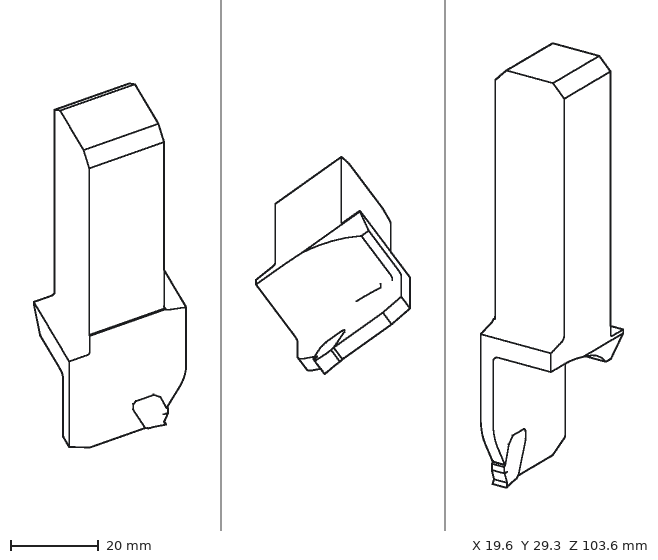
import cadquery as cq
import math

TOTAL_HEIGHT = 103.6
DEPTH = 29.3
OVERHANG = 0.2
BLADE_RIGHT = 19.4
BLADE_LEFT = 16.0

SHANK_RIGHT = 19.1
SHANK_FRONT = 5.2
SHANK_BACK = 23.9
SHANK_CHAMFER = 3.1
STEP_HEIGHT = 41.0

FRONT_SHOULDER_HEIGHT = 34.5
BACK_SHOULDER_HEIGHT = 39.2
BACK_SHOULDER_ANGLE = 16.0
FRONT_SHOULDER_RADIUS = 0.7
BACK_SHOULDER_RADIUS = 1.5

BLADE_BOTTOM = 1.1
FRONT_CORNER_HEIGHT = 3.9
BACK_CORNER_HEIGHT = 14.5
BACK_CORNER_RADIUS = 14.5
SEAT_MOUTH = (24.5, 5.7)
SEAT_INSIDE_Y = 21.8

CLEARANCE_HIGH = 34.5
CLEARANCE_LOW = 26.3
ARC_START_Y = 24.2
ARC_END_Y = 2.1
CLEARANCE_FILLET = 1.5

BEVEL_TOP = 33.6
BEVEL_WIDTH = 3.4

CUTTING_TIP = (24.2, 0.0)
RAKE_HOLLOW = (23.7, 1.0)
RAKE_TOP = (24.8, 3.7)
RELIEF_TOP = (23.6, 3.7)
RELIEF_BOTTOM = (21.3, 0.4)
INSERT_OUTLINE = [
    CUTTING_TIP,
    RAKE_HOLLOW,
    RAKE_TOP,
    (24.8, 5.3),
    (24.4, 5.7),
    (22.9, 10.3),
    (21.2, 11.9),
    (16.7, 11.9),
    (16.1, 11.1),
    (16.1, 9.1),
    (19.1, BLADE_BOTTOM),
    (19.8, 0.6),
    RELIEF_BOTTOM,
]
HEAD_OUTLINE = [CUTTING_TIP, RAKE_HOLLOW, RAKE_TOP, RELIEF_TOP, RELIEF_BOTTOM]


def extrude_along_x(outline, start, end):
    """Extrude a closed list of (Y, Z) points from X = start to X = end."""
    return cq.Workplane("YZ", origin=(start, 0, 0)).polyline(outline).close().extrude(end - start)


def make_holder_blank():
    """Full-thickness side outline of shank, foot and blade, with rounded corners."""
    shoulder_rise = (DEPTH - SHANK_BACK) * math.tan(math.radians(BACK_SHOULDER_ANGLE))
    back_shoulder = (SHANK_BACK, BACK_SHOULDER_HEIGHT + shoulder_rise)
    outline = [
        (SHANK_FRONT, TOTAL_HEIGHT),
        (SHANK_BACK, TOTAL_HEIGHT),
        back_shoulder,
        (DEPTH, BACK_SHOULDER_HEIGHT),
        (DEPTH, BACK_CORNER_HEIGHT),
        SEAT_MOUTH,
        (SEAT_INSIDE_Y, BLADE_BOTTOM),
        (SHANK_FRONT, BLADE_BOTTOM),
        (0, FRONT_CORNER_HEIGHT),
        (0, FRONT_SHOULDER_HEIGHT),
        (SHANK_FRONT, FRONT_SHOULDER_HEIGHT),
    ]
    rounded_corners = [
        (back_shoulder, BACK_SHOULDER_RADIUS),
        ((DEPTH, BACK_CORNER_HEIGHT), BACK_CORNER_RADIUS),
        ((SHANK_FRONT, FRONT_SHOULDER_HEIGHT), FRONT_SHOULDER_RADIUS),
    ]
    blank = extrude_along_x(outline, 0, BLADE_RIGHT)
    middle = BLADE_RIGHT / 2
    for (y, z), radius in rounded_corners:
        blank = blank.edges(cq.NearestToPointSelector((middle, y, z))).fillet(radius)
    return blank


def make_shank_trim():
    """Material outside the chamfered shank, including the shallow right-hand step."""
    chamfer_base = TOTAL_HEIGHT - SHANK_CHAMFER
    left = [(0, TOTAL_HEIGHT), (SHANK_CHAMFER, TOTAL_HEIGHT), (0, chamfer_base)]
    right = [
        (BLADE_RIGHT, TOTAL_HEIGHT),
        (SHANK_RIGHT - SHANK_CHAMFER, TOTAL_HEIGHT),
        (SHANK_RIGHT, chamfer_base),
        (SHANK_RIGHT, STEP_HEIGHT),
        (BLADE_RIGHT, STEP_HEIGHT),
    ]
    plane = cq.Workplane("XZ")
    left_trim = plane.polyline(left).close().extrude(-DEPTH)
    right_trim = plane.polyline(right).close().extrude(-DEPTH)
    return left_trim.union(right_trim)


def make_blade_clearance():
    """Arched space beside the blade, rounded where its roof meets the blade face."""
    run = ARC_START_Y - ARC_END_Y
    drop = CLEARANCE_HIGH - CLEARANCE_LOW
    radius = (run**2 + drop**2) / (2 * drop)
    half_angle = math.asin(run / radius) / 2
    arc_middle = (
        ARC_START_Y - radius * math.sin(half_angle),
        CLEARANCE_HIGH - radius * (1 - math.cos(half_angle)),
    )
    margin = 5.2
    clearance = (
        cq.Workplane("YZ", origin=(-margin, 0, 0))
        .moveTo(DEPTH + margin, -margin)
        .lineTo(DEPTH + margin, CLEARANCE_HIGH)
        .lineTo(ARC_START_Y, CLEARANCE_HIGH)
        .threePointArc(arc_middle, (ARC_END_Y, CLEARANCE_LOW))
        .lineTo(-margin, CLEARANCE_LOW)
        .lineTo(-margin, -margin)
        .close()
        .extrude(BLADE_LEFT + margin)
    )
    roof_edges = cq.selectors.BoxSelector(
        (BLADE_LEFT - 1, -margin, CLEARANCE_LOW - 1),
        (BLADE_LEFT + 1, DEPTH + margin, CLEARANCE_HIGH + 1),
    )
    return clearance.faces(">X").edges(roof_edges).fillet(CLEARANCE_FILLET)


def make_foot_bevel():
    """Wedge removed from the lower left edge of the foot."""
    wedge = [(0, BEVEL_TOP), (BEVEL_WIDTH, CLEARANCE_LOW), (0, CLEARANCE_LOW)]
    return cq.Workplane("XZ").polyline(wedge).close().extrude(-DEPTH)


def make_cutting_head():
    """Widened cutting corner, tapering back to blade thickness along the relief line."""
    relief_y = RELIEF_BOTTOM[0] - RELIEF_TOP[0]
    relief_z = RELIEF_BOTTOM[1] - RELIEF_TOP[1]
    relief_length = math.hypot(relief_y, relief_z)
    tip_y = CUTTING_TIP[0] - RELIEF_TOP[0]
    tip_z = CUTTING_TIP[1] - RELIEF_TOP[1]
    tip_distance = abs(relief_y * tip_z - relief_z * tip_y) / relief_length
    section_plane = cq.Plane(
        origin=(0, *RELIEF_TOP), xDir=(1, 0, 0), normal=(0, relief_y, relief_z)
    )
    section = [
        (BLADE_LEFT, 0),
        (BLADE_RIGHT, 0),
        (BLADE_RIGHT + OVERHANG, -tip_distance),
        (BLADE_LEFT - OVERHANG, -tip_distance),
    ]
    taper = cq.Workplane(section_plane).polyline(section).close().extrude(2 * relief_length, both=True)
    head = extrude_along_x(HEAD_OUTLINE, BLADE_LEFT - OVERHANG, BLADE_RIGHT + OVERHANG)
    return head.intersect(taper)


def make_insert():
    """Cutting insert filling the blade thickness, with its widened head."""
    body = extrude_along_x(INSERT_OUTLINE, BLADE_LEFT, BLADE_RIGHT)
    return body.union(make_cutting_head())


def make_holder(insert):
    """Tool holder with a seat that matches the insert."""
    holder = make_holder_blank().cut(make_shank_trim())
    holder = holder.cut(make_blade_clearance()).cut(make_foot_bevel())
    return holder.cut(insert)


insert = make_insert()
holder = make_holder(insert)
result = cq.Compound.makeCompound([holder.val(), insert.val()])